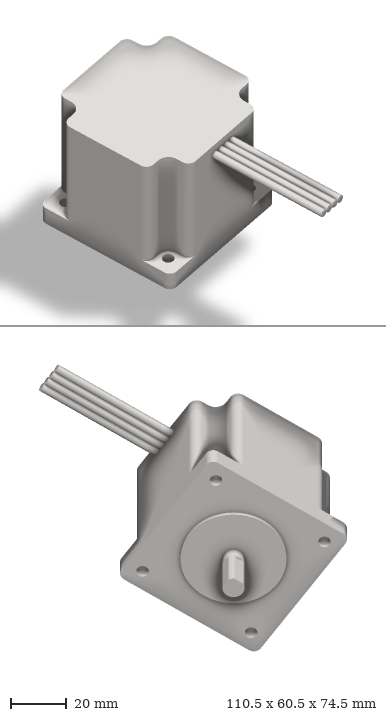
import cadquery as cq

overall_length = 110.5
side = 60.5
motor_height = 54.0

flange_thickness = 7.6
flange_corner_radius = 3.1
hole_spacing = 47.2
hole_diameter = 4.5

notch_size = 10.7
notch_inner_radius = 4.6
notch_outer_radius = 3.3

pilot_diameter = 38.2
pilot_height = 1.5
shaft_diameter = 8.0
shaft_length = 19.0
flat_depth = 0.5
flat_start = 4.3

wire_count = 4
wire_diameter = 3.1
wire_pitch = 3.2
wire_drop = 5.1
wire_embed = 2.2


def make_flange():
    flange = cq.Workplane("XY").rect(side, side).extrude(flange_thickness)
    flange = flange.edges("|Z").fillet(flange_corner_radius)
    holes = (
        cq.Workplane("XY")
        .rect(hole_spacing, hole_spacing, forConstruction=True)
        .vertices()
        .circle(hole_diameter / 2)
        .extrude(flange_thickness)
    )
    return flange.cut(holes)


def make_housing():
    """Cross-shaped housing: two crossing blocks with rounded corners."""
    height = motor_height - flange_thickness
    narrow = side - 2 * notch_size
    base = cq.Workplane("XY").workplane(offset=flange_thickness)
    along_x = base.rect(side, narrow).extrude(height)
    along_y = base.rect(narrow, side).extrude(height)
    housing = along_x.union(along_y)

    inner_reach = narrow + notch_size
    inner_box = cq.selectors.BoxSelector(
        (-inner_reach / 2, -inner_reach / 2, 0),
        (inner_reach / 2, inner_reach / 2, motor_height),
    )
    housing = housing.edges("|Z").edges(inner_box).fillet(notch_inner_radius)
    outer_edges = housing.edges("|Z").edges(">X or <X or >Y or <Y")
    return outer_edges.fillet(notch_outer_radius)


def make_shaft():
    pilot = cq.Workplane("XY").circle(pilot_diameter / 2).extrude(-pilot_height)
    shaft = (
        cq.Workplane("XY")
        .workplane(offset=-pilot_height)
        .circle(shaft_diameter / 2)
        .extrude(-shaft_length)
    )
    flat_position = shaft_diameter / 2 - flat_depth
    flat_cutter = (
        cq.Workplane("XY")
        .workplane(offset=-pilot_height - flat_start)
        .center(flat_position + shaft_diameter / 2, 0)
        .rect(shaft_diameter, 2 * shaft_diameter)
        .extrude(-shaft_length)
    )
    for angle in (0, 90):
        shaft = shaft.cut(flat_cutter.rotate((0, 0, 0), (0, 0, 1), angle))
    return pilot.union(shaft)


def make_wires():
    start = side / 2 - wire_embed
    end = overall_length - side / 2
    first = -(wire_count - 1) * wire_pitch / 2
    positions = [(first + i * wire_pitch, motor_height - wire_drop) for i in range(wire_count)]
    return (
        cq.Workplane("YZ")
        .workplane(offset=start)
        .pushPoints(positions)
        .circle(wire_diameter / 2)
        .extrude(end - start)
    )


result = make_flange().union(make_housing()).union(make_shaft()).union(make_wires())